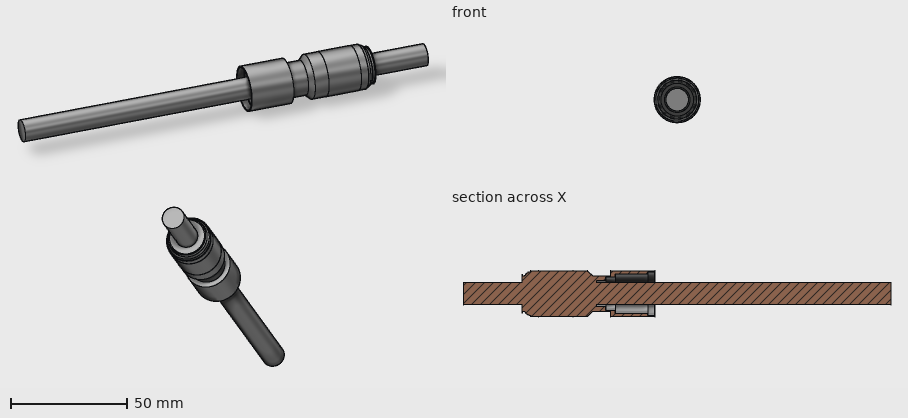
import cadquery as cq

overall_length = 184.15
cable_radius = 4.85
skirt_radius = 9.97

nose_start = 25.2
lip_thickness = 0.3
lip_radius = 8.3
nose_radius = 7.75
crown_start = 26.4
crown_edge = 26.9
crown_edge_radius = 8.6
collar_start = 27.9
collar_start_radius = 9.3
collar_end_radius = 9.6

body_start = 29.0
body_end = 53.5
sleeve_step = 0.07
body_radius = skirt_radius - sleeve_step
sleeve_start = 32.4
sleeve_end = 47.2

neck_start = 55.8
neck_radius = 7.7

skirt_start = 63.3
skirt_end = 82.4
socket_steps = [(9.25, 3.0), (8.35, 14.0), (7.05, 4.0), (5.5, 4.0)]


def turned(*outline):
    """Solid of revolution from (radius, distance) corners, closed along the axis."""
    start = outline[0][1]
    end = outline[-1][1]
    points = [(0, -start)] + [(radius, -distance) for radius, distance in outline] + [(0, -end)]
    return cq.Workplane("XY").polyline(points).close().revolve(360, (0, 0, 0), (0, 1, 0))


def cylinder(radius, start, end):
    """Round bar on the Y axis between two distances."""
    return turned((radius, start), (radius, end))


def make_nose():
    """Lip, short cylinder, and the two flared steps leading up to the body."""
    lip = cylinder(lip_radius, nose_start, nose_start + lip_thickness)
    flare = turned(
        (nose_radius, nose_start),
        (nose_radius, crown_start),
        (crown_edge_radius, crown_edge),
        (collar_start_radius, collar_start),
        (collar_end_radius, body_start),
    )
    return lip.union(flare)


def make_body():
    """Body with its sleeve, tapering down to the neck that joins the skirt."""
    core = turned(
        (body_radius, body_start),
        (body_radius, body_end),
        (neck_radius, neck_start),
        (neck_radius, skirt_start),
    )
    return core.union(cylinder(skirt_radius, sleeve_start, sleeve_end))


def make_socket():
    """Stepped bore, widest at the open end of the skirt."""
    mouth = skirt_end
    socket = cq.Workplane("XY")
    for radius, depth in socket_steps:
        socket = socket.add(cylinder(radius, mouth - depth, mouth))
        mouth -= depth
    return socket.combine()


skirt = cylinder(skirt_radius, skirt_start, skirt_end)
connector = make_nose().union(make_body()).union(skirt).cut(make_socket())
cable = cylinder(cable_radius, 0, overall_length)

result = connector.union(cable)